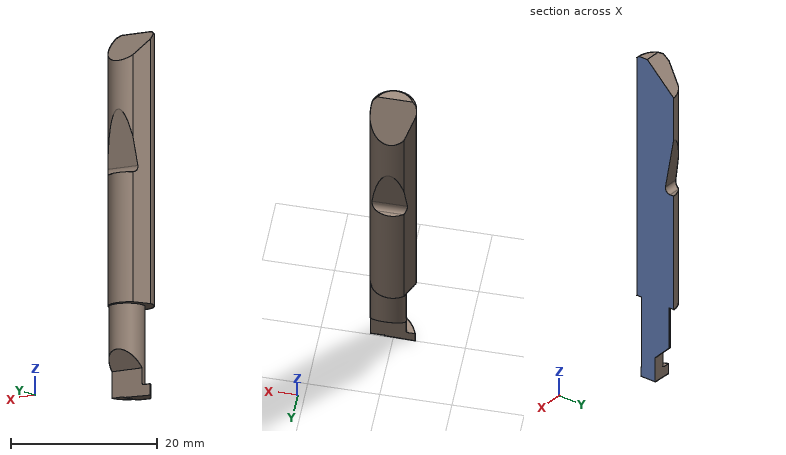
import cadquery as cq
import math


total_length = 50.8
shank_diameter = 6.35
shank_radius = shank_diameter / 2
shank_bottom = 12.7
clearance = 1.0

chamfer_size = 0.4
bevel_start_y = -1.32

flat_start_angle = 0.0
flat_end_angle = 52.0
flat_normal_angle = (flat_start_angle + flat_end_angle) / 2
flat_distance = shank_radius * math.cos(math.radians(flat_end_angle - flat_start_angle) / 2)

notch_bottom = 30.75
notch_angle = 10.0
notch_top = 39.55
notch_fillet = 0.8

neck_diameter = 4.96
neck_radius = neck_diameter / 2
neck_center_x = shank_radius - neck_radius
neck_side_x = neck_center_x - neck_radius
neck_bottom = 0.25
rake_top = 3.93

head_height = 1.6
tip_x = -3.05
nose_middle = (-2.0, -1.85)
nose_end = (-1.43, -2.44)
front_end = (neck_center_x, -neck_radius)
head_back_x = 1.3
bottom_relief_angle = 2.0

root_fillet_radius = 0.25
root_fillet_length = 1.3
root_fillet_angle = 29.0


def make_shank():
    shank_length = total_length - shank_bottom
    shank = cq.Workplane("XY").workplane(offset=shank_bottom).circle(shank_radius).extrude(shank_length)
    return shank.faces(">Z").chamfer(chamfer_size)


def make_bevel_cutter():
    """Wedge above the 45 degree plane through the shank end."""
    reach = shank_radius + clearance - bevel_start_y
    return (
        cq.Workplane("YZ")
        .moveTo(bevel_start_y, total_length)
        .lineTo(bevel_start_y + reach, total_length)
        .lineTo(bevel_start_y + reach, total_length - reach)
        .close()
        .extrude(shank_diameter, both=True)
    )


def make_flat_cutter():
    """Block outside the long flat."""
    return (
        cq.Workplane("XY")
        .box(shank_diameter, 2 * shank_diameter, total_length, centered=(True, True, False))
        .translate((-flat_distance - shank_diameter / 2, 0, shank_bottom))
        .rotate((0, 0, 0), (0, 0, 1), -flat_normal_angle)
    )


def make_notch_cutter():
    """Sloped notch across the full width, rounded in its deepest corner."""
    depth = (notch_top - notch_bottom) * math.tan(math.radians(notch_angle))
    overshoot = clearance / math.tan(math.radians(notch_angle))
    return (
        cq.Workplane("YZ")
        .moveTo(shank_radius - depth, notch_bottom)
        .lineTo(shank_radius + clearance, notch_bottom)
        .lineTo(shank_radius + clearance, notch_top + overshoot)
        .close()
        .extrude(shank_diameter, both=True)
        .edges("|X")
        .edges("<Y")
        .fillet(notch_fillet)
    )


def make_neck():
    neck = (
        cq.Workplane("XY")
        .workplane(offset=neck_bottom)
        .center(neck_center_x, 0)
        .circle(neck_radius)
        .extrude(shank_bottom - neck_bottom)
    )
    reach = neck_radius + clearance
    rake_cutter = (
        cq.Workplane("YZ")
        .moveTo(0, 0)
        .lineTo(0, rake_top)
        .lineTo(reach, rake_top + reach)
        .lineTo(reach, 0)
        .close()
        .extrude(shank_diameter, both=True)
    )
    return neck.cut(rake_cutter)


def make_head():
    """Hooked cutting head with a rounded nose and its cutting face on the plane Y = 0."""
    head = (
        cq.Workplane("XY")
        .moveTo(tip_x, 0)
        .threePointArc(nose_middle, nose_end)
        .lineTo(*front_end)
        .lineTo(head_back_x, 0)
        .close()
        .extrude(head_height)
    )
    relief_length = 2 * shank_diameter
    relief_cutter = (
        cq.Workplane("XZ")
        .moveTo(tip_x, 0)
        .lineTo(tip_x + relief_length, 0)
        .lineTo(tip_x + relief_length, relief_length * math.tan(math.radians(bottom_relief_angle)))
        .close()
        .extrude(shank_diameter, both=True)
    )
    return head.cut(relief_cutter)


def make_root_fillet():
    """Concave corner piece that starts on the plane Y = 0 and runs into the neck."""
    start_x = neck_side_x - root_fillet_radius
    inner_x = neck_side_x + root_fillet_radius
    fillet_top = head_height + root_fillet_radius
    run = math.radians(root_fillet_angle)
    run_end = (root_fillet_length * math.sin(run), -root_fillet_length * math.cos(run))
    profile = (
        cq.Workplane("XZ")
        .moveTo(start_x, head_height)
        .radiusArc((neck_side_x, fillet_top), -root_fillet_radius)
        .lineTo(inner_x, fillet_top)
        .lineTo(inner_x, head_height)
        .close()
    )
    path = cq.Workplane("XY").moveTo(0, 0).lineTo(*run_end)
    return profile.sweep(path)


shank = make_shank().cut(make_bevel_cutter()).cut(make_flat_cutter()).cut(make_notch_cutter())
result = shank.union(make_neck()).union(make_head()).union(make_root_fillet())